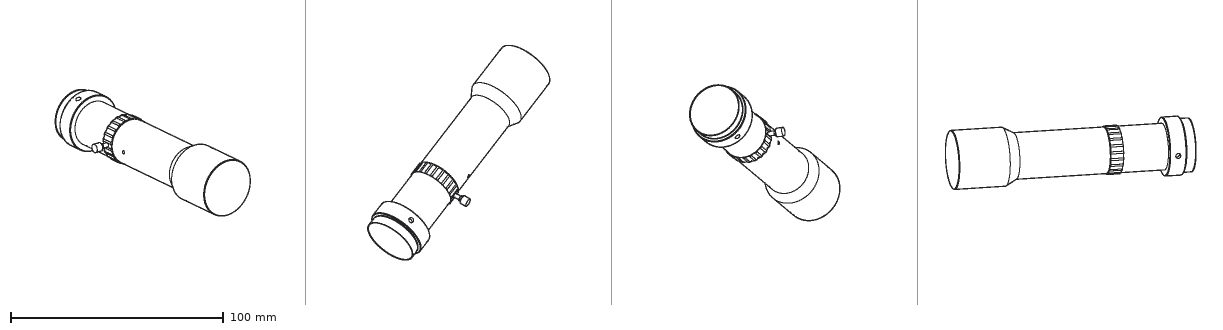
import cadquery as cq
import math

LENGTH = 115.4
BODY_RADIUS = 14.02
TUBE_RADIUS = 11.1
EDGE_CHAMFER = 0.3

FLANGE_RADIUS = 12.8
FLANGE_END = 4.5
GROOVE_RADIUS = 12.5
COLLAR_START = 5.0
COLLAR_END = 13.0

RIM_INNER_RADIUS = 12.5
RIM_DEPTH = 0.2
LENS_RADIUS = TUBE_RADIUS
LENS_DEPTH = 0.6

TAPER_START = 85.2
TAPER_END = 90.6

RING_RADIUS = 11.5
RING_START = 34.9
RING_END = 41.0
FLUTE_COUNT = 22
RIDGE_WIDTH = 1.0
FLUTE_DEPTH = 0.3

SCREW_X = (RING_START + RING_END) / 2
STEM_RADIUS = 1.0
NECK_RADIUS = 1.4
HEAD_RADIUS = 2.1
NECK_START = 14.5
HEAD_START = 15.6
HEAD_END = 19.33
HEAD_DOME_HEIGHT = 0.5

DRILL_POINT_ANGLE = 118.0
SET_HOLE_RADIUS = 1.21
SET_HOLE_DEPTH = 2.3
SET_HOLE_COUNT = 3
SET_HOLE_FIRST_ANGLE = 65.0
TUBE_HOLE_X = 50.1
TUBE_HOLE_RADIUS = 0.75
TUBE_HOLE_DEPTH = 1.7


def make_barrel():
    """Turn the half profile of the barrel about X, including the concave lens face."""
    rim_radius = BODY_RADIUS - EDGE_CHAMFER
    lens_center = RIM_DEPTH + LENS_DEPTH
    sphere_radius = (LENS_RADIUS**2 + LENS_DEPTH**2) / (2 * LENS_DEPTH)
    half_radius = LENS_RADIUS / 2
    half_sag = sphere_radius - math.sqrt(sphere_radius**2 - half_radius**2)
    profile = (
        cq.Workplane("XY")
        .moveTo(lens_center, 0)
        .threePointArc((lens_center - half_sag, half_radius), (RIM_DEPTH, LENS_RADIUS))
        .lineTo(RIM_DEPTH, RIM_INNER_RADIUS)
        .lineTo(0, RIM_INNER_RADIUS)
        .lineTo(0, FLANGE_RADIUS)
        .lineTo(FLANGE_END, FLANGE_RADIUS)
        .lineTo(FLANGE_END, GROOVE_RADIUS)
        .lineTo(COLLAR_START, GROOVE_RADIUS)
        .lineTo(COLLAR_START, rim_radius)
        .lineTo(COLLAR_START + EDGE_CHAMFER, BODY_RADIUS)
        .lineTo(COLLAR_END - EDGE_CHAMFER, BODY_RADIUS)
        .lineTo(COLLAR_END, rim_radius)
        .lineTo(COLLAR_END, TUBE_RADIUS)
        .lineTo(RING_END, TUBE_RADIUS)
        .lineTo(RING_END, TUBE_RADIUS - EDGE_CHAMFER)
        .lineTo(RING_END + EDGE_CHAMFER, TUBE_RADIUS)
        .lineTo(TAPER_START, TUBE_RADIUS)
        .lineTo(TAPER_END, BODY_RADIUS)
        .lineTo(LENGTH - EDGE_CHAMFER, BODY_RADIUS)
        .lineTo(LENGTH, rim_radius)
        .lineTo(LENGTH, 0)
        .close()
    )
    return profile.revolve(360, (0, 0, 0), (1, 0, 0))


def make_grip_ring():
    """Fluted ring: one concave arc per flute, one convex arc per ridge between flutes."""
    pitch = 2 * math.pi / FLUTE_COUNT
    half_ridge = RIDGE_WIDTH / RING_RADIUS / 2

    def polar(radius, angle):
        return (radius * math.cos(angle), radius * math.sin(angle))

    first_flute = math.pi
    half_flute = pitch / 2 - half_ridge
    outline = cq.Workplane("YZ", origin=(RING_START, 0, 0))
    outline = outline.moveTo(*polar(RING_RADIUS, first_flute - half_flute))
    for index in range(FLUTE_COUNT):
        flute = first_flute + index * pitch
        ridge = flute + pitch / 2
        outline = outline.threePointArc(
            polar(RING_RADIUS - FLUTE_DEPTH, flute), polar(RING_RADIUS, flute + half_flute)
        )
        outline = outline.threePointArc(
            polar(RING_RADIUS, ridge), polar(RING_RADIUS, ridge + half_ridge)
        )
    return outline.close().extrude(RING_END - RING_START)


def make_screw():
    """Turned clamping screw pointing along -Y: stem, neck and head with a domed end."""
    stem_start = -TUBE_RADIUS / 2
    dome_start = HEAD_END - HEAD_DOME_HEIGHT
    dome_radius = (HEAD_RADIUS**2 + HEAD_DOME_HEIGHT**2) / (2 * HEAD_DOME_HEIGHT)
    half_radius = HEAD_RADIUS / 2
    half_drop = dome_radius - math.sqrt(dome_radius**2 - half_radius**2)
    profile = (
        cq.Workplane("XY", origin=(SCREW_X, 0, 0))
        .moveTo(0, stem_start)
        .lineTo(STEM_RADIUS, stem_start)
        .lineTo(STEM_RADIUS, -NECK_START)
        .lineTo(NECK_RADIUS, -NECK_START)
        .lineTo(NECK_RADIUS, -HEAD_START)
        .lineTo(HEAD_RADIUS, -HEAD_START)
        .lineTo(HEAD_RADIUS, -dome_start)
        .threePointArc((half_radius, half_drop - HEAD_END), (0, -HEAD_END))
        .close()
    )
    return profile.revolve(360, (0, 0, 0), (0, 1, 0))


def radial_hole(x, surface_radius, radius, depth, angle):
    """Cutter for a drilled radial hole with a conical floor; angle is from -Y towards +Z."""
    mouth = surface_radius + radius
    floor = surface_radius - depth
    tip = floor - radius / math.tan(math.radians(DRILL_POINT_ANGLE / 2))
    profile = (
        cq.Workplane("XY", origin=(x, 0, 0))
        .moveTo(0, -mouth)
        .lineTo(radius, -mouth)
        .lineTo(radius, -floor)
        .lineTo(0, -tip)
        .close()
    )
    cutter = profile.revolve(360, (0, 0, 0), (0, 1, 0))
    return cutter.rotate((0, 0, 0), (1, 0, 0), -angle)


result = make_barrel().union(make_grip_ring()).union(make_screw())

collar_middle = (COLLAR_START + COLLAR_END) / 2
for index in range(SET_HOLE_COUNT):
    hole_angle = SET_HOLE_FIRST_ANGLE + index * 360 / SET_HOLE_COUNT
    result = result.cut(
        radial_hole(collar_middle, BODY_RADIUS, SET_HOLE_RADIUS, SET_HOLE_DEPTH, hole_angle)
    )

result = result.cut(
    radial_hole(TUBE_HOLE_X, TUBE_RADIUS, TUBE_HOLE_RADIUS, TUBE_HOLE_DEPTH, 0)
)